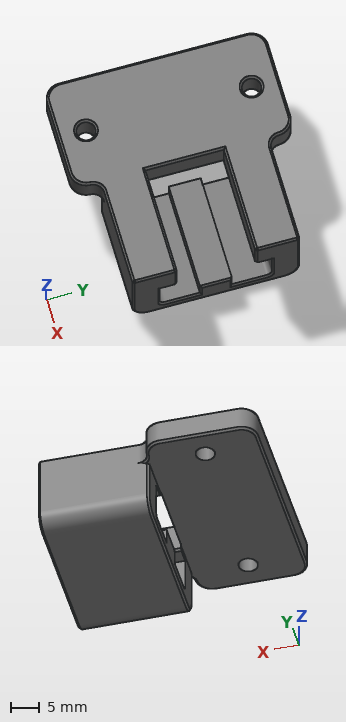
import cadquery as cq

length = 40
plate_length = 20
plate_width = 40
plate_thickness = 5.0
height = 15.0
edge_chamfer = 0.4
end_chamfer = 0.35
corner_radius = 3.0

block_start = 20.1
wall = 5.0
chamber_width = 20.3
block_width = chamber_width + 2 * wall
neck_radius = 2

floor_z = 2
chamber_top_z = 9.0
chamber_radius = 1.0
slot_width = 14.2
slot_length = length - plate_length
slot_center_x = plate_length + slot_length / 2
rib_width = 5.8
rib_top_z = 5.0

hole_diameter = 3.4
hole_x = 10
hole_spacing = 30

plate_bottom_z = height - plate_thickness


def centered_box(x_start, x_end, width, z_bottom, z_top):
    """Box symmetric about the XZ plane."""
    return (
        cq.Workplane("XY", origin=((x_start + x_end) / 2, 0, z_bottom))
        .box(x_end - x_start, width, z_top - z_bottom, centered=(True, True, False))
    )


def make_plate():
    """T-shaped plate with rounded head corners and filleted necks."""
    head = centered_box(0, plate_length, plate_width, plate_bottom_z, height)
    head = head.edges("|Z").fillet(corner_radius)
    tail = centered_box(plate_length / 2, length, block_width, plate_bottom_z, height)
    plate = head.union(tail)
    for side in (-1, 1):
        neck = cq.selectors.NearestToPointSelector(
            (plate_length, side * block_width / 2, height - plate_thickness / 2)
        )
        plate = plate.edges(neck).fillet(neck_radius)
    return plate.faces("<Z or >Z").edges("not >X").chamfer(edge_chamfer)


def make_block():
    """Socket block with rounded lower edges and a bevelled -X face."""
    block = centered_box(block_start, length, block_width, 0, height - edge_chamfer)
    block = block.edges("|X and <Z").fillet(corner_radius)
    return block.faces("<X").edges().chamfer(edge_chamfer)


def make_chamber():
    """Passage along X with rounded floor corners, less the guide rib."""
    chamber = centered_box(plate_length, length, chamber_width, floor_z, chamber_top_z)
    chamber = chamber.edges("|X and <Z").fillet(chamber_radius)
    rib = centered_box(plate_length, length, rib_width, floor_z, rib_top_z)
    return chamber.cut(rib)


def make_slot():
    """Opening from the chamber to the top, flared at both its upper and lower rims."""
    half = slot_width / 2
    slot = centered_box(plate_length, length, slot_width, chamber_top_z, height)
    lower_flare = (
        cq.Workplane("YZ", origin=(plate_length, 0, 0))
        .polyline([
            (-half - edge_chamfer, chamber_top_z),
            (half + edge_chamfer, chamber_top_z),
            (half, chamber_top_z + edge_chamfer),
            (-half, chamber_top_z + edge_chamfer),
        ])
        .close()
        .extrude(slot_length)
    )
    flare_length = slot_length + 2 * edge_chamfer
    upper_flare = (
        cq.Workplane("XY", origin=(slot_center_x, 0, height))
        .rect(flare_length, slot_width + 2 * edge_chamfer)
        .workplane(offset=-edge_chamfer)
        .rect(slot_length, slot_width)
        .loft(ruled=True)
    )
    return slot.union(lower_flare).union(upper_flare)


def make_holes():
    """Through holes with a countersunk upper rim."""
    centers = [(hole_x, -hole_spacing / 2), (hole_x, hole_spacing / 2)]
    hole_radius = hole_diameter / 2
    drills = (
        cq.Workplane("XY", origin=(0, 0, plate_bottom_z))
        .pushPoints(centers)
        .circle(hole_radius)
        .extrude(plate_thickness)
    )
    for x, y in centers:
        countersink = cq.Solid.makeCone(
            hole_radius,
            hole_radius + edge_chamfer,
            edge_chamfer,
            pnt=cq.Vector(x, y, height - edge_chamfer),
        )
        drills = drills.union(cq.Workplane(countersink))
    return drills


body = make_plate().union(make_block())
body = body.cut(make_chamber()).cut(make_slot()).cut(make_holes())

result = body.faces(">X").edges().chamfer(end_chamfer)